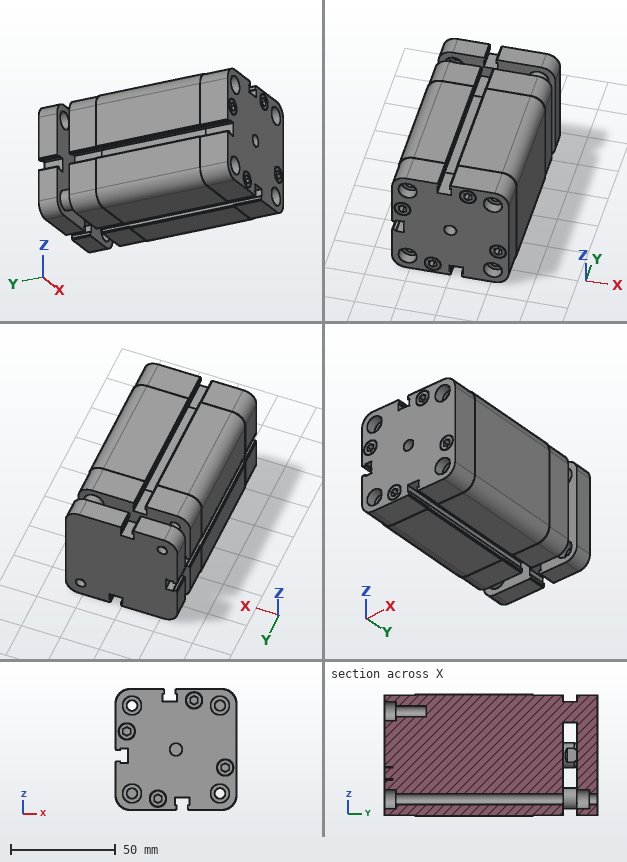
import cadquery as cq


rear_cap_length = 14.8
tube_length = 56.2
front_cap_length = 14.5
rod_gap = 6.5
plate_thickness = 10.0

rear_cap_end = rear_cap_length
tube_end = rear_cap_end + tube_length
body_length = tube_end + front_cap_length
plate_start = body_length + rod_gap
total_length = plate_start + plate_thickness

tube_width = 58.1
cap_width = 57.5
corner_center = 21.8

slot_offset = -2.95
slot_neck_width = 5.25
slot_cavity_width = 6.8
cap_slot_floor = 22.85
tube_slot_floor = 22.95
slot_ledge = 26.6
slot_lip_chamfer = 0.57
slot_angles = (0, 90, 180)

corner_pitch = 42.0
corner_half = corner_pitch / 2
mount_hole_diameter = 5.0
counterbore_diameter = 9.0
counterbore_depth = 5.5
thread_depth = 20.0
guide_rod_pitch = 41.2
guide_rod_half = guide_rod_pitch / 2
guide_rod_diameter = 10.0
plate_bore_diameter = 9.0
plate_bore_depth = 6.0

screw_radial = 23.5
screw_sideways = 8.65
screw_places = [
    (screw_sideways, screw_radial),
    (screw_radial, -screw_sideways),
    (-screw_sideways, -screw_radial),
    (-screw_radial, screw_sideways),
]
screw_recess_diameter = 8.0
screw_head_diameter = 7.5
screw_head_height = 4.0
hex_across_flats = 3.7
hex_depth = 4.0

port_diameter = 6.0
port_depth = 10.0

rod_diameter = 12.0
rod_across_flats = 10.0
rod_flat_end = 4.6
rod_tip_length = 1.3
rod_tip_reduction = 0.5


def xz_plane(y):
    """Workplane at the given y with local axes +X and +Z; a negative extrusion runs toward +Y."""
    return cq.Workplane("XZ", origin=(0, y, 0))


def rounded_square(width, y_start, y_end):
    radius = width / 2 - corner_center
    block = xz_plane(y_start).rect(width, width).extrude(y_start - y_end)
    return block.edges("|Y").fillet(radius)


def cylinder(x, z, diameter, y_start, y_end):
    return xz_plane(y_start).center(x, z).circle(diameter / 2).extrude(y_start - y_end)


def t_slot(slot_floor, width, y_start, y_end):
    """Cutter for the T-slot in the top side of a section of the given width."""
    neck = slot_neck_width / 2
    cavity = slot_cavity_width / 2
    surface = width / 2
    outside = tube_width
    flare = neck + slot_lip_chamfer
    right_side = [
        (cavity, slot_floor),
        (cavity, slot_ledge),
        (neck, slot_ledge),
        (neck, surface - slot_lip_chamfer),
        (flare, surface),
        (flare, outside),
    ]
    left_side = [(-x, z) for x, z in reversed(right_side)]
    outline = xz_plane(y_start).center(slot_offset, 0).polyline(right_side + left_side).close()
    return outline.extrude(y_start - y_end)


def cap_screw_recess(x, z):
    """Annular gap around a flush screw head, together with its hexagon socket."""
    recess = cylinder(x, z, screw_recess_diameter, 0, screw_head_height)
    head = cylinder(x, z, screw_head_diameter, 0, screw_head_height)
    hexagon = (
        xz_plane(0)
        .center(x, z)
        .polygon(6, hex_across_flats, circumscribed=True)
        .extrude(-hex_depth)
    )
    return recess.cut(head).union(hexagon)


def piston_rod():
    straight_end = plate_start - rod_tip_length
    rod = cylinder(0, 0, rod_diameter, body_length, straight_end)
    tip = (
        xz_plane(straight_end)
        .circle(rod_diameter / 2)
        .workplane(offset=-rod_tip_length)
        .circle(rod_diameter / 2 - rod_tip_reduction)
        .loft()
    )
    rod = rod.union(tip)
    half_flat = rod_across_flats / 2
    half_rod = rod_diameter / 2
    flat_start = plate_start - rod_flat_end
    run_out = half_rod - half_flat
    for side in (-1, 1):
        flat = (
            cq.Workplane("XY", origin=(0, 0, -half_rod))
            .moveTo(side * half_flat, plate_start)
            .lineTo(side * half_flat, flat_start)
            .lineTo(side * half_rod, flat_start - run_out)
            .lineTo(side * half_rod, plate_start)
            .close()
            .extrude(rod_diameter)
        )
        rod = rod.cut(flat)
    return rod


def body():
    solid = rounded_square(cap_width, 0, body_length)
    solid = solid.union(rounded_square(tube_width, rear_cap_end, tube_end))
    for x_side in (-1, 1):
        for z_side in (-1, 1):
            x = x_side * corner_half
            z = z_side * corner_half
            goes_through = x_side != z_side
            hole_end = body_length if goes_through else thread_depth
            solid = solid.cut(cylinder(x, z, mount_hole_diameter, 0, hole_end))
            solid = solid.cut(cylinder(x, z, counterbore_diameter, 0, counterbore_depth))
    for x, z in screw_places:
        solid = solid.cut(cap_screw_recess(x, z))
    return solid.cut(cylinder(0, 0, port_diameter, 0, port_depth))


def front_plate():
    """End plate with counterbored holes in line with the body's through holes."""
    plate = rounded_square(cap_width, plate_start, total_length)
    for side in (-1, 1):
        x = side * corner_half
        z = -side * corner_half
        plate = plate.cut(cylinder(x, z, mount_hole_diameter, plate_start, total_length))
        bore_end = plate_start + plate_bore_depth
        plate = plate.cut(cylinder(x, z, plate_bore_diameter, plate_start, bore_end))
    return plate


result = body().union(front_plate())
slot = t_slot(cap_slot_floor, cap_width, 0, rear_cap_end)
slot = slot.union(t_slot(tube_slot_floor, tube_width, rear_cap_end, tube_end))
slot = slot.union(t_slot(cap_slot_floor, cap_width, tube_end, total_length))
for slot_angle in slot_angles:
    result = result.cut(slot.rotate((0, 0, 0), (0, 1, 0), -slot_angle))
result = result.union(piston_rod())
for rod_side in (-1, 1):
    rod_place = rod_side * guide_rod_half
    result = result.union(cylinder(rod_place, rod_place, guide_rod_diameter, body_length, plate_start))